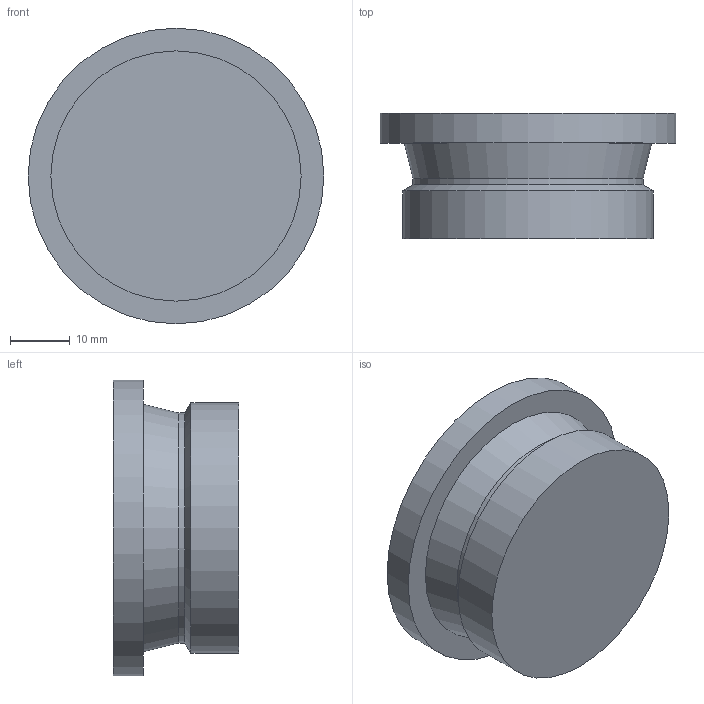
import cadquery as cq

flange_diameter = 49.5
head_diameter = 41.9
neck_diameter = 38.5
taper_diameter = 41.4

total_length = 21.0
flange_length = 5.0
taper_length = 6.0
neck_length = 1.0
shoulder_length = 1.0

flange_end = total_length
flange_start = flange_end - flange_length
taper_start = flange_start - taper_length
neck_start = taper_start - neck_length
head_end = neck_start - shoulder_length


def turned_profile():
    """Half section in the XY plane: X is the radius, Y is the axis."""
    return (
        cq.Workplane("XY")
        .moveTo(0, 0)
        .lineTo(head_diameter / 2, 0)
        .lineTo(head_diameter / 2, head_end)
        .lineTo(neck_diameter / 2, neck_start)
        .lineTo(neck_diameter / 2, taper_start)
        .lineTo(taper_diameter / 2, flange_start)
        .lineTo(flange_diameter / 2, flange_start)
        .lineTo(flange_diameter / 2, flange_end)
        .lineTo(0, flange_end)
        .close()
    )


result = turned_profile().revolve(360, (0, 0, 0), (0, 1, 0))